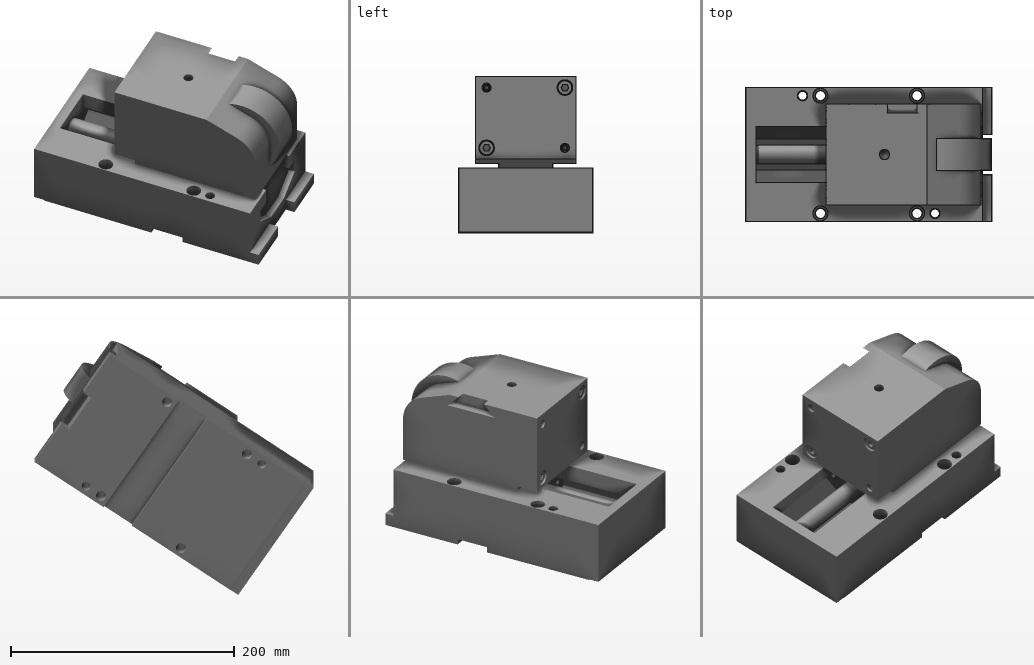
import cadquery as cq
import math


base_length = 220.0
base_width = 120.0
base_height = 58.0
foot_length = 8.4
foot_height = 11.7
foot_gap_width = 35.6
end_wall = 9.5
end_wall_lift = 0.7
key_start = 114.8
key_width = 30.5
key_depth = 5.3
body_end = base_length - foot_length

slot_width = 50.0
slot_lip_depth = 14.7
guide_width = 74.8
guide_side_bottom = 29.7
guide_ledge = 1.5
guide_floor_width = 27.5
guide_slope = 30.0
guide_top = base_height - slot_lip_depth
guide_slope_run = (guide_width - guide_floor_width) / 2 - guide_ledge
guide_floor = guide_side_bottom - guide_slope_run * math.tan(math.radians(guide_slope))

base_middle = base_length / 2
bolt_spacing_x = 86.2
dowel_spacing_x = 118.4
base_hole_spacing_y = 105.2
bolt_hole_diameter = 9.0
bolt_head_diameter = 13.5
bolt_head_depth = 22.0
dowel_hole_diameter = 8.0
dowel_relief_diameter = 9.0
dowel_relief_depth = base_height / 2

slide_start = 72.0
slide_end = 210.3
slide_width = 90.2
slide_top = 140.0
slide_bottom = 61.8
overhang_bottom = 66.0
slope_start = 162.1
slope_angle = 20.0
nose_radius = 27.5
stem_start = 92.2
stem_end = 200.5
stem_width = 48.5
keeper_end = 206.1
keeper_top = 60.7
notch_start = 127.0
notch_length = 26.2
notch_inset = 8.0
notch_depth = 11.0
notch_flare_angle = 45.0
top_hole_x = 124.0
top_hole_diameter = 9.0
top_hole_depth = 17.5
drill_point_angle = 118.0
guide_hole_spacing = 53.7
guide_hole_z = 37.8
guide_hole_diameter = 5.0
guide_hole_depth = 6.5

roller_x = 182.8
roller_z = 102.3
roller_radius = 36.7
roller_width = 28.4

end_hole_y = 35.0
end_hole_high = 129.8
end_hole_low = 76.0
screw_bore_diameter = 13.9
screw_head_diameter = 12.3
screw_head_depth = 8.8
screw_head_inset = 1.3
hex_across_flats = 6.0
hex_depth = 4.5
pin_bore_diameter = 8.0
pin_inset = 2.9
pin_thread_diameter = 4.0
pin_countersink_diameter = 6.0
pin_thread_depth = 6.5

spring_z = 39.8
rod_diameter = 16.7
rod_taper_length = 1.8
rod_taper_inset = 0.7
spring_cylinder_diameter = 33.5


def block(x0, x1, width, z0, z1):
    """Box centred on Y = 0."""
    corner = cq.Workplane("XY", origin=(x0, 0, z0))
    return corner.box(x1 - x0, width, z1 - z0, centered=(False, True, False))


def cylinder_along_x(x, y, z, diameter, length):
    return cq.Workplane("YZ", origin=(x, y, z)).circle(diameter / 2).extrude(length)


def cylinder_down(x, y, z, diameter, depth):
    return cq.Workplane("XY", origin=(x, y, z)).circle(diameter / 2).extrude(-depth)


def guide_section(x0, x1, neck_width, neck_top):
    """Prism along X: a neck above a wide guide that steps in at a ledge, then slopes in to its floor."""
    half_neck = neck_width / 2
    half_guide = guide_width / 2
    half_floor = guide_floor_width / 2
    outline = [
        (half_neck, neck_top),
        (half_neck, guide_top),
        (half_guide, guide_top),
        (half_guide, guide_side_bottom),
        (half_guide - guide_ledge, guide_side_bottom),
        (half_floor, guide_floor),
    ]
    mirrored = [(-y, z) for y, z in reversed(outline)]
    return cq.Workplane("YZ", origin=(x0, 0, 0)).polyline(outline + mirrored).close().extrude(x1 - x0)


def cut_base_holes(base):
    for side_x in (-1, 1):
        for side_y in (-1, 1):
            x = base_middle + side_x * bolt_spacing_x / 2
            y = side_y * base_hole_spacing_y / 2
            base = base.cut(cylinder_down(x, y, base_height, bolt_hole_diameter, base_height))
            base = base.cut(cylinder_down(x, y, base_height, bolt_head_diameter, bolt_head_depth))
        x = base_middle + side_x * dowel_spacing_x / 2
        y = -side_x * base_hole_spacing_y / 2
        base = base.cut(cylinder_down(x, y, base_height, dowel_hole_diameter, base_height))
        base = base.cut(cylinder_down(x, y, base_height, dowel_relief_diameter, dowel_relief_depth))
    return base


def make_base():
    base = block(0, body_end, base_width, 0, base_height)
    base = base.union(block(0, base_length, base_width, 0, foot_height))
    base = base.cut(block(body_end, base_length, foot_gap_width, 0, foot_height))
    base = base.cut(block(0, end_wall, base_width, 0, end_wall_lift))
    base = base.cut(block(key_start, key_start + key_width, base_width, 0, key_depth))
    base = base.cut(guide_section(end_wall, body_end, slot_width, base_height))
    return cut_base_holes(base)


def make_housing():
    """Upper block of the slide: overhang at the low end, sloping top and rounded nose."""
    slope_drop = (slide_end - slope_start) * math.tan(math.radians(slope_angle))
    outline = [
        (slide_start, overhang_bottom),
        (slide_start, slide_top),
        (slope_start, slide_top),
        (slide_end, slide_top - slope_drop),
        (slide_end, slide_bottom),
        (stem_start, slide_bottom),
        (stem_start, overhang_bottom),
    ]
    housing = cq.Workplane("XZ").polyline(outline).close().extrude(slide_width / 2, both=True)
    nose_edge = cq.selectors.NearestToPointSelector((slide_end, 0, slide_top - slope_drop))
    housing = housing.edges("|Y").edges(nose_edge).fillet(nose_radius)
    return housing.cut(make_notch())


def make_notch():
    """Pocket at the +Y top edge whose ends lean outward toward its floor."""
    notch_end = notch_start + notch_length
    flare = notch_depth * math.tan(math.radians(notch_flare_angle))
    notch_floor = slide_top - notch_depth
    outline = [
        (notch_start, slide_top),
        (notch_end, slide_top),
        (notch_end + flare, notch_floor),
        (notch_start - flare, notch_floor),
    ]
    side = cq.Workplane("XZ", origin=(0, slide_width / 2, 0))
    return side.polyline(outline).close().extrude(notch_inset)


def make_roller():
    roller = cq.Workplane("XZ", origin=(roller_x, 0, roller_z)).circle(roller_radius)
    return roller.extrude(roller_width / 2, both=True)


def cut_top_hole(slide):
    """Blind drilled hole with a pointed bottom."""
    radius = top_hole_diameter / 2
    point_depth = radius / math.tan(math.radians(drill_point_angle / 2))
    profile = [(0, 0), (radius, 0), (radius, -top_hole_depth), (0, -top_hole_depth - point_depth)]
    drill = cq.Workplane("XZ", origin=(top_hole_x, 0, slide_top)).polyline(profile).close()
    return slide.cut(drill.revolve(360, (0, 0, 0), (0, 1, 0)))


def cut_screw(slide, y, z):
    """Ring gap around a socket head, with the head just below the end face."""
    face = cq.Workplane("YZ", origin=(slide_start, y, z))
    gap = face.circle(screw_bore_diameter / 2).circle(screw_head_diameter / 2).extrude(screw_head_depth)
    inset = cylinder_along_x(slide_start, y, z, screw_bore_diameter, screw_head_inset)
    hex_across_corners = hex_across_flats / math.cos(math.radians(30))
    socket = face.polygon(6, hex_across_corners).extrude(screw_head_inset + hex_depth)
    return slide.cut(gap).cut(inset).cut(socket)


def thread_mouth(y, z):
    """Right-angled cone that opens the thread at the sunk pin face."""
    wide = pin_countersink_diameter / 2
    narrow = pin_thread_diameter / 2
    face = cq.Vector(slide_start + pin_inset, y, z)
    return cq.Workplane(cq.Solid.makeCone(wide, narrow, wide - narrow, face, cq.Vector(1, 0, 0)))


def cut_pin(slide, y, z):
    """Sunk dowel end with a threaded pull hole."""
    bore = cylinder_along_x(slide_start, y, z, pin_bore_diameter, pin_inset)
    thread = cylinder_along_x(slide_start, y, z, pin_thread_diameter, pin_inset + pin_thread_depth)
    return slide.cut(bore).cut(thread).cut(thread_mouth(y, z))


def make_spring_cylinder():
    return cylinder_along_x(stem_start, 0, spring_z, spring_cylinder_diameter, stem_end - stem_start)


def make_spring():
    rod = cylinder_along_x(end_wall, 0, spring_z, rod_diameter, stem_start - end_wall)
    return rod.faces("<X").chamfer(rod_taper_length, rod_taper_inset).union(make_spring_cylinder())


def make_slide():
    slide = make_housing().union(make_roller())
    slide = slide.union(guide_section(stem_start, stem_end, stem_width, slide_bottom))
    slide = slide.union(guide_section(stem_end, keeper_end, stem_width, keeper_top))
    slide = cut_top_hole(slide)
    for side in (-1, 1):
        y = side * guide_hole_spacing / 2
        hole = cylinder_along_x(stem_start, y, guide_hole_z, guide_hole_diameter, guide_hole_depth)
        slide = slide.cut(hole)
    slide = cut_screw(slide, -end_hole_y, end_hole_high)
    slide = cut_screw(slide, end_hole_y, end_hole_low)
    slide = cut_pin(slide, end_hole_y, end_hole_high)
    slide = cut_pin(slide, -end_hole_y, end_hole_low)
    return slide.cut(make_spring_cylinder())


base = make_base()
slide = make_slide()
spring = make_spring()

result = cq.Compound.makeCompound([*base.solids().vals(), *slide.solids().vals(), *spring.solids().vals()])